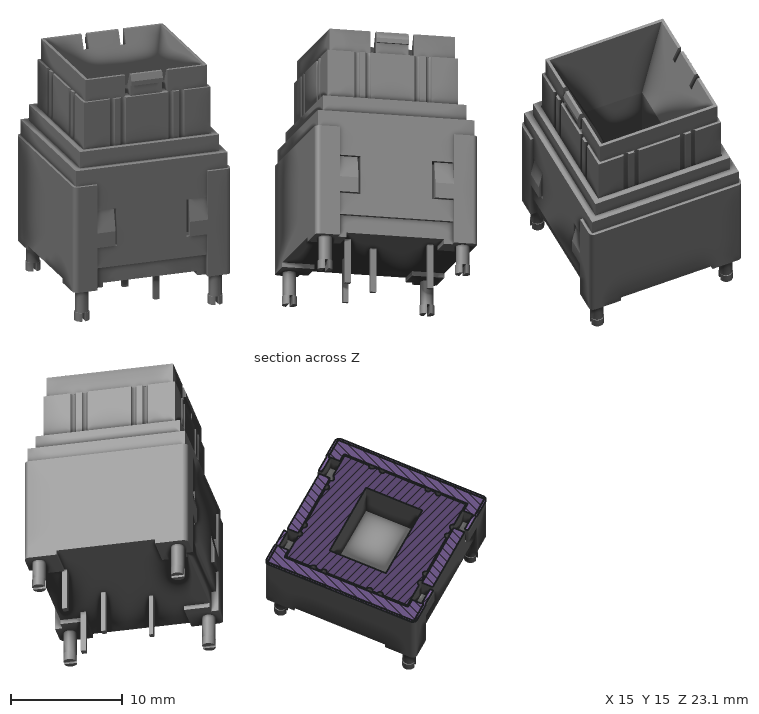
import cadquery as cq


base_width = 15.0
base_corner_radius = 0.46
foot_bottom_z = 3.6
floor_bottom_z = 4.02
floor_top_z = 5.61
base_wall_top_z = 13.63
foot_gap = 9.0
floor_width_x = 13.68
wing_gap = 10.53

tab_gap = 7.1
tab_bottom_z = 7.65
tab_slope_z = 9.03
tab_top_z = 11.02
tab_depth = 0.45

peg_offset = 6.35
peg_diameter = 1.2
peg_long_tip_z = 0.6
peg_short_tip_z = 1.02
peg_snap_height = 0.8
peg_snap_spread = 0.08
peg_slot_width = 0.32

terminals = [
    (-4.53, 3.8, 0.46, 0.55),
    (-4.53, -3.8, 0.46, 0.55),
    (-2.0, 0.8, 0.4, 0.55),
    (2.0, 2.3, 0.4, 0.49),
]

cover_width = 14.45
cover_shoulder_z = 15.1
cover_neck_width = 13.25
cover_top_z = 16.65
window_clearance = 0.07
window_end_clearance = 0.25

plunger_clearance = 0.1
sleeve_width = 12.05
sleeve_top_z = 21.07
rim_width = 11.6
rim_top_z = 23.1
mouth_width = 11.05
well_width_x = 5.55
well_width_y = 7.44
well_top_z = 16.7
groove_radius = 0.25
groove_offsets = [-3.3, -2.26, 2.26, 3.3]

latch_width = 3.0
latch_slit_width = 0.5
latch_slit_inner_x = 5.0
latch_slope_z = 22.5
latch_hook_z = 22.08


def block(width_x, width_y, bottom_z, top_z, x=0, y=0):
    """Box centred on (x, y) between two heights."""
    return (
        cq.Workplane("XY", origin=(x, y, bottom_z))
        .rect(width_x, width_y)
        .extrude(top_z - bottom_z)
    )


def square_block(width, bottom_z, top_z):
    return block(width, width, bottom_z, top_z)


def snap_tab():
    """Tab at the +X, +Y wing, with a ramp that falls outward from its top edge."""
    outer_x = base_width / 2
    inner_x = outer_x - tab_depth
    profile = [
        (inner_x, tab_bottom_z),
        (outer_x, tab_bottom_z),
        (outer_x, tab_slope_z),
        (inner_x, tab_top_z),
    ]
    length = (wing_gap - tab_gap) / 2
    return cq.Workplane("XZ", origin=(0, wing_gap / 2, 0)).polyline(profile).close().extrude(length)


def peg(x, y, tip_z):
    """Round peg whose tip is split by a slot into two spread snap halves."""
    snap_top_z = tip_z + peg_snap_height
    shaft = (
        cq.Workplane("XY", origin=(x, y, snap_top_z))
        .circle(peg_diameter / 2)
        .extrude(foot_bottom_z - snap_top_z)
    )
    snap = (
        cq.Workplane("XY", origin=(x, y, tip_z))
        .slot2D(peg_diameter + 2 * peg_snap_spread, peg_diameter, 90)
        .extrude(peg_snap_height)
    )
    slot = block(2 * peg_diameter, peg_slot_width, tip_z, snap_top_z, x, y)
    return shaft.union(snap.cut(slot))


def make_base():
    base = square_block(base_width, foot_bottom_z, base_wall_top_z)
    base = base.edges("|Z").fillet(base_corner_radius)

    base = base.cut(square_block(cover_width, floor_top_z, base_wall_top_z))
    base = base.cut(block(base_width, wing_gap, floor_top_z, base_wall_top_z))
    setback_depth = (base_width - floor_width_x) / 2
    setback_x = (base_width + floor_width_x) / 4
    for side in (-1, 1):
        base = base.cut(block(setback_depth, wing_gap, foot_bottom_z, floor_top_z, side * setback_x))
    base = base.cut(block(base_width, foot_gap, foot_bottom_z, floor_bottom_z))
    base = base.cut(block(foot_gap, base_width, foot_bottom_z, floor_bottom_z))

    right_tabs = snap_tab().union(snap_tab().mirror("XZ"))
    base = base.union(right_tabs).union(right_tabs.mirror("YZ"))

    for x_side in (-1, 1):
        for y_side in (-1, 1):
            is_short = x_side < 0 and y_side < 0
            tip_z = peg_short_tip_z if is_short else peg_long_tip_z
            base = base.union(peg(x_side * peg_offset, y_side * peg_offset, tip_z))

    for x, y, width_x, width_y in terminals:
        base = base.union(block(width_x, width_y, 0, floor_top_z, x, y))
    return base


def make_cover():
    cover = square_block(cover_width, floor_top_z, cover_shoulder_z)
    cover = cover.union(square_block(cover_neck_width, cover_shoulder_z, cover_top_z))
    opening_width = sleeve_width + 2 * plunger_clearance
    cover = cover.cut(square_block(opening_width, floor_top_z, cover_top_z))

    window_inner_y = tab_gap / 2 - window_end_clearance
    window_length = wing_gap / 2 - window_inner_y
    window_bottom_z = tab_bottom_z - window_clearance
    window_top_z = tab_top_z + window_clearance
    for side in (-1, 1):
        window_y = side * (window_inner_y + window_length / 2)
        window = block(base_width, window_length, window_bottom_z, window_top_z, 0, window_y)
        cover = cover.cut(window)
    return cover


def sleeve_grooves():
    """Upright round grooves in all four faces of the sleeve."""
    face = sleeve_width / 2
    centers = []
    for offset in groove_offsets:
        for side in (-1, 1):
            centers.append((offset, side * face))
            centers.append((side * face, offset))
    return (
        cq.Workplane("XY", origin=(0, 0, floor_top_z))
        .pushPoints(centers)
        .circle(groove_radius)
        .extrude(sleeve_top_z - floor_top_z)
    )


def latch_hook():
    """Hook on the +X side of the rim, sloped on top and flush with the sleeve face."""
    rim_x = rim_width / 2
    hook_x = sleeve_width / 2
    profile = [
        (rim_x, latch_hook_z),
        (hook_x, latch_hook_z),
        (hook_x, latch_slope_z),
        (rim_x, rim_top_z),
    ]
    return cq.Workplane("XZ", origin=(0, latch_width / 2, 0)).polyline(profile).close().extrude(latch_width)


def make_plunger():
    plunger = square_block(sleeve_width, floor_top_z, sleeve_top_z).cut(sleeve_grooves())
    plunger = plunger.union(square_block(rim_width, sleeve_top_z, rim_top_z))

    mouth = (
        cq.Workplane("XY", origin=(0, 0, well_top_z))
        .rect(well_width_x, well_width_y)
        .workplane(offset=rim_top_z - well_top_z)
        .rect(mouth_width, mouth_width)
        .loft(ruled=True)
    )
    well = block(well_width_x, well_width_y, floor_top_z, well_top_z)
    plunger = plunger.cut(mouth).cut(well)

    slit_depth = rim_width / 2 - latch_slit_inner_x
    slit_x = rim_width / 2 - slit_depth / 2
    slit_y = (latch_width + latch_slit_width) / 2
    for x_side in (-1, 1):
        for y_side in (-1, 1):
            slit = block(
                slit_depth, latch_slit_width, sleeve_top_z, rim_top_z, x_side * slit_x, y_side * slit_y
            )
            plunger = plunger.cut(slit)

    hook = latch_hook()
    return plunger.union(hook).union(hook.mirror("YZ"))


base = make_base()
cover = make_cover()
plunger = make_plunger()

result = cq.Compound.makeCompound([body.solids().val() for body in (base, cover, plunger)])